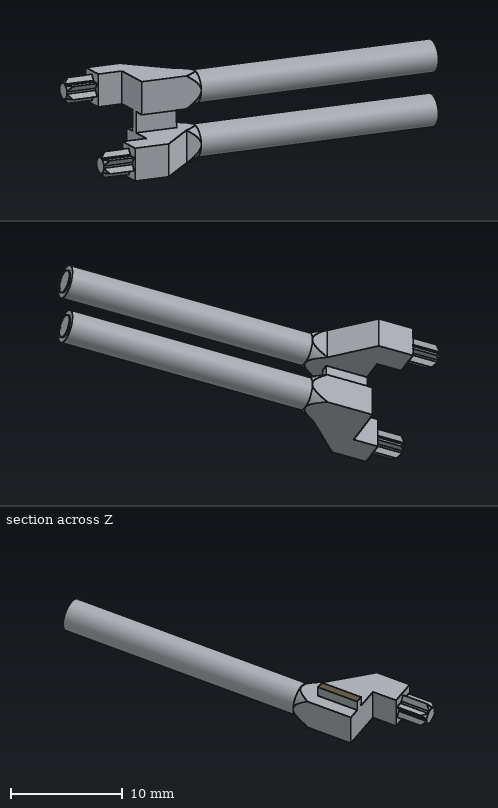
import cadquery as cq
import math

total_length = 34.9
total_height = 8.1
rod_diameter = 3.07
rod_start = 11.17
end_disc_diameter = 2.1
end_disc_height = 0.1

pin_spacing = 7.5
pin_length = 2.85
pin_tip_radius = 1.22
pin_core_radius = 0.77
pin_points = 6

leg_width = 2.5
notch_y = 5.25
corner_y = 9.7

web_thickness = 0.77
web_length = 4.05

rod_radius = rod_diameter / 2
rod_height = (total_height - rod_diameter) / 2
pin_x = pin_spacing / 2
outer_x = pin_x + leg_width / 2
inner_x = pin_x - leg_width / 2
shoulder_y = corner_y - (outer_x - rod_radius)
pin_valley_radius = pin_tip_radius / math.sqrt(3)
block_corner_radius = rod_radius * math.sqrt(2)


def along_y(start_y):
    """Workplane square to Y at start_y, centred on the rod axis; negative extrusions run toward +Y."""
    return cq.Workplane("XZ", origin=(0, start_y, 0))


def make_rod():
    """Round rod with a shallow disc on its far end."""
    rod_length = total_length - end_disc_height - rod_start
    rod = along_y(rod_start).circle(rod_radius).extrude(-rod_length)
    disc = along_y(total_length - end_disc_height).circle(end_disc_diameter / 2).extrude(-end_disc_height)
    return rod.union(disc)


def make_block():
    """Flat block that cranks from the rod axis out to the leg on the -X side."""
    block = (
        cq.Workplane("XY", origin=(0, 0, -rod_radius))
        .moveTo(-outer_x, pin_length)
        .lineTo(-inner_x, pin_length)
        .lineTo(-inner_x, notch_y)
        .lineTo(rod_radius, notch_y)
        .lineTo(rod_radius, corner_y)
        .lineTo(-rod_radius, corner_y)
        .lineTo(-outer_x, shoulder_y)
        .close()
        .extrude(rod_diameter)
    )
    return block.union(make_neck())


def make_neck():
    """Square stub whose corners are turned down by a cone to meet the round rod."""
    neck_length = rod_start - corner_y
    stub = along_y(corner_y).rect(rod_diameter, rod_diameter).extrude(-neck_length)
    cone = cq.Workplane(
        cq.Solid.makeCone(
            block_corner_radius, rod_radius, neck_length, pnt=cq.Vector(0, corner_y, 0), dir=cq.Vector(0, 1, 0)
        )
    )
    return stub.intersect(cone)


def make_pin():
    """Star-pointed pin on a round core, its free end chamfered down to the core."""
    corners = []
    for index in range(2 * pin_points):
        angle = math.pi / 2 + index * math.pi / pin_points
        radius = pin_tip_radius if index % 2 == 0 else pin_valley_radius
        corners.append((radius * math.cos(angle), radius * math.sin(angle)))
    star = along_y(0).polyline(corners).close().extrude(-pin_length)
    core = along_y(0).circle(pin_core_radius).extrude(-pin_length)
    envelope = along_y(0).circle(pin_tip_radius).extrude(-pin_length)
    envelope = envelope.faces("<Y").chamfer(pin_tip_radius - pin_core_radius)
    return star.intersect(envelope).union(core).translate((-pin_x, 0, 0))


def make_conductor():
    """One complete arm: rod, cranked block and pin."""
    return make_rod().union(make_block()).union(make_pin())


upper_arm = make_conductor().translate((0, 0, rod_height))
lower_arm = make_conductor().rotate((0, 0, 0), (0, 1, 0), 180).translate((0, 0, -rod_height))

web_height = total_height - 2 * rod_diameter
web = cq.Workplane("XY").box(web_thickness, web_length, web_height, centered=(True, False, True))
web = web.translate((0, notch_y, 0))

result = upper_arm.union(lower_arm).union(web)